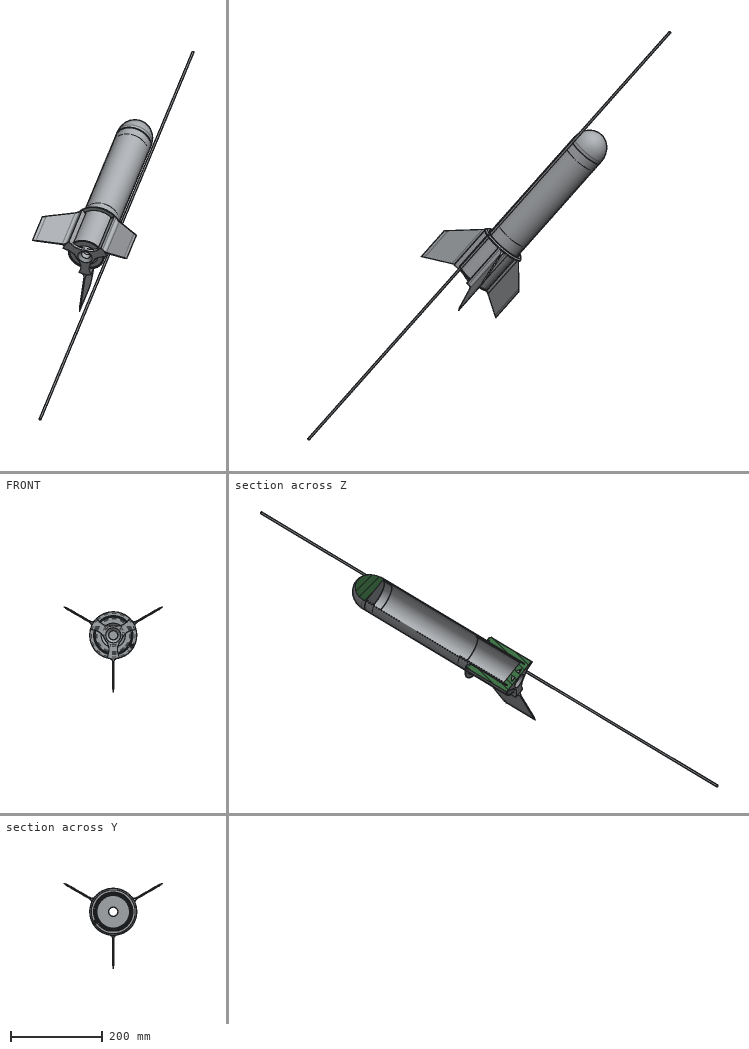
import cadquery as cq
import math


ROD_LENGTH = 1219.2
ROD_DIAMETER = 4.76
ROD_CLEARANCE = 2.0
ROD_ANGLE = -30.0

TUBE_OUTER_DIAMETER = 80.2
TUBE_INNER_DIAMETER = 76.2
TUBE_AFT_Y = -99.0
TUBE_FRONT_Y = 277.0

INSERT_DIAMETER = 75.2
INSERT_BORE_DIAMETER = 71.2

COLLAR_LENGTH = 7.6
DOME_LENGTH = 44.0
SHOULDER_LENGTH = 20.0

FLANGE_OUTER_DIAMETER = 103.2
FLANGE_INNER_DIAMETER = 85.2
FLANGE_AFT_Y = -2.5
FLANGE_THICKNESS = 5.5
FLANGE_CHAMFER = 3.5
CAN_AFT_Y = -108.5
POST_SPAN_ANGLE = 30.0
HUB_DIAMETER = 41.0
NOZZLE_MOUTH_DIAMETER = 33.0
NOZZLE_THROAT_DIAMETER = 20.0
HUB_FILLET = 29.0
NOZZLE_DEPTH = 7.0
SEAT_THICKNESS = 2.4
SEAT_RECESS_DIAMETER = 53.0
SLEEVE_FRONT_Y = 28.0
SLEEVE_FLOOR_THICKNESS = 10.0

FIN_ANGLES = (30.0, 150.0, 270.0)
FIN_THICKNESS = 3.0
FIN_TIP_RADIUS = 123.84
FIN_TIP_ROUND = 0.19
FIN_TIP_BEVEL = 7.5
FIN_LEADING_SWEEP = 71.5
FIN_TIP_CHORD = 77.5
FIN_ROOT_FILLET = 8.0

FLANGE_RADIUS = FLANGE_OUTER_DIAMETER / 2
TUBE_RADIUS = TUBE_OUTER_DIAMETER / 2
FLANGE_FRONT_Y = FLANGE_AFT_Y + FLANGE_THICKNESS
SEAT_AFT_Y = TUBE_AFT_Y - SEAT_THICKNESS


def section(y):
    """Workplane across the rocket at y: local x is X, local y is Z, extruding toward -Y."""
    return cq.Workplane("XZ", origin=(0, y, 0))


def cylinder(diameter, aft_y, front_y):
    return section(front_y).circle(diameter / 2).extrude(front_y - aft_y)


def aft_facing_cone(mouth_diameter, floor_diameter, aft_y, depth):
    """Cone that narrows toward the nose, used as a cutter."""
    profile = [
        (0, aft_y),
        (mouth_diameter / 2, aft_y),
        (floor_diameter / 2, aft_y + depth),
        (0, aft_y + depth),
    ]
    return cq.Workplane("XY").polyline(profile).close().revolve(360, (0, 0), (0, 1))


def polar(radius, degrees):
    angle = math.radians(degrees)
    return radius * math.cos(angle), radius * math.sin(angle)


def about_axis(body, degrees):
    """Turn a body built along +X to the given angle, counted from +X toward +Z."""
    return body.rotate((0, 0, 0), (0, 1, 0), -degrees)


ROD_X, ROD_Z = polar((FLANGE_OUTER_DIAMETER + FLANGE_INNER_DIAMETER) / 4, ROD_ANGLE)


def make_rod():
    rod = cylinder(ROD_DIAMETER, -ROD_LENGTH / 2, ROD_LENGTH / 2)
    return rod.translate((ROD_X, 0, ROD_Z))


def make_tube():
    tube = cylinder(TUBE_OUTER_DIAMETER, TUBE_AFT_Y, TUBE_FRONT_Y)
    return tube.cut(cylinder(TUBE_INNER_DIAMETER, TUBE_AFT_Y, TUBE_FRONT_Y))


def make_nose():
    dome_y = TUBE_FRONT_Y + COLLAR_LENGTH
    shoulder_y = TUBE_FRONT_Y - SHOULDER_LENGTH
    dome = (
        cq.Workplane("XY", origin=(0, dome_y, 0))
        .moveTo(TUBE_RADIUS, 0)
        .ellipseArc(TUBE_RADIUS, DOME_LENGTH, 0, 90, startAtCurrent=True)
        .lineTo(0, 0)
        .close()
        .revolve(360, (0, 0), (0, 1))
    )
    collar = cylinder(TUBE_OUTER_DIAMETER, TUBE_FRONT_Y, dome_y)
    shoulder = cylinder(INSERT_DIAMETER, shoulder_y, TUBE_FRONT_Y)
    bore = cylinder(INSERT_BORE_DIAMETER, shoulder_y, TUBE_FRONT_Y)
    return collar.union(dome).union(shoulder).cut(bore)


def sector(front_y, aft_y):
    """Wedge from the axis out to the flange radius, centred on +X."""
    half = POST_SPAN_ANGLE / 2
    wedge = (
        section(front_y)
        .lineTo(*polar(FLANGE_RADIUS, -half))
        .threePointArc((FLANGE_RADIUS, 0), polar(FLANGE_RADIUS, half))
        .close()
    )
    return wedge.extrude(front_y - aft_y)


def make_post():
    post = sector(FLANGE_AFT_Y, CAN_AFT_Y)
    return post.cut(cylinder(TUBE_OUTER_DIAMETER, TUBE_AFT_Y, TUBE_FRONT_Y))


def make_flange():
    flange = cylinder(FLANGE_OUTER_DIAMETER, FLANGE_AFT_Y, FLANGE_FRONT_Y)
    flange = flange.faces(">Y").chamfer(FLANGE_CHAMFER)
    return flange.cut(cylinder(FLANGE_INNER_DIAMETER, FLANGE_AFT_Y, FLANGE_FRONT_Y))


def make_hub():
    """Hub with three spokes, the corners between hub and spokes rounded."""
    hub = cylinder(HUB_DIAMETER, CAN_AFT_Y, SEAT_AFT_Y)
    for angle in FIN_ANGLES:
        hub = hub.union(about_axis(sector(SEAT_AFT_Y, CAN_AFT_Y), angle))
    corner_reach = HUB_DIAMETER / 2 + 1.0
    hub_corners = cq.selectors.BoxSelector(
        (-corner_reach, CAN_AFT_Y, -corner_reach),
        (corner_reach, SEAT_AFT_Y, corner_reach),
    )
    return hub.edges("|Y").edges(hub_corners).fillet(HUB_FILLET)


def make_seat():
    """Disc under the tube end, with a sleeve up the tube and a 45 degree recess around the hub."""
    floor_front_y = TUBE_AFT_Y + SLEEVE_FLOOR_THICKNESS
    seat = cylinder(TUBE_OUTER_DIAMETER, SEAT_AFT_Y, TUBE_AFT_Y)
    seat = seat.union(cylinder(INSERT_DIAMETER, TUBE_AFT_Y, SLEEVE_FRONT_Y))
    seat = seat.cut(cylinder(INSERT_BORE_DIAMETER, floor_front_y, SLEEVE_FRONT_Y))
    recess_depth = (SEAT_RECESS_DIAMETER - HUB_DIAMETER) / 2
    seat = seat.cut(aft_facing_cone(SEAT_RECESS_DIAMETER, HUB_DIAMETER, SEAT_AFT_Y, recess_depth))
    core = cylinder(HUB_DIAMETER, SEAT_AFT_Y, floor_front_y)
    return seat.union(core)


def cut_nozzle(can):
    nozzle = aft_facing_cone(NOZZLE_MOUTH_DIAMETER, NOZZLE_THROAT_DIAMETER, CAN_AFT_Y, NOZZLE_DEPTH)
    throat = cylinder(NOZZLE_THROAT_DIAMETER, CAN_AFT_Y, SLEEVE_FRONT_Y)
    return can.cut(nozzle).cut(throat)


def make_fin():
    """Swept fin along +X: a cross-section run along Y, trimmed to the side outline."""
    half = FIN_THICKNESS / 2
    fillet_centre_z = half + FIN_ROOT_FILLET
    root_x = math.sqrt((FLANGE_RADIUS + FIN_ROOT_FILLET) ** 2 - fillet_centre_z**2)
    foot_angle = math.degrees(math.atan2(fillet_centre_z, root_x))
    middle_angle = math.radians((270 + 180 + foot_angle) / 2)
    foot_x, foot_z = polar(FLANGE_RADIUS, foot_angle)
    middle_x = root_x + FIN_ROOT_FILLET * math.cos(middle_angle)
    middle_z = fillet_centre_z + FIN_ROOT_FILLET * math.sin(middle_angle)
    bevel_x = FIN_TIP_RADIUS - FIN_TIP_BEVEL
    round_x = FIN_TIP_RADIUS - FIN_TIP_ROUND

    front_y = FLANGE_AFT_Y
    tip_aft_y = FLANGE_AFT_Y - FIN_LEADING_SWEEP - FIN_TIP_CHORD
    cross_section = (
        section(front_y)
        .moveTo(TUBE_RADIUS, -foot_z)
        .lineTo(foot_x, -foot_z)
        .threePointArc((middle_x, -middle_z), (root_x, -half))
        .lineTo(bevel_x, -half)
        .lineTo(round_x, -FIN_TIP_ROUND)
        .threePointArc((FIN_TIP_RADIUS, 0), (round_x, FIN_TIP_ROUND))
        .lineTo(bevel_x, half)
        .lineTo(root_x, half)
        .threePointArc((middle_x, middle_z), (foot_x, foot_z))
        .lineTo(TUBE_RADIUS, foot_z)
        .close()
        .extrude(front_y - tip_aft_y)
    )
    outline = [
        (TUBE_RADIUS, front_y),
        (FLANGE_RADIUS, front_y),
        (FIN_TIP_RADIUS, front_y - FIN_LEADING_SWEEP),
        (FIN_TIP_RADIUS, tip_aft_y),
        (FLANGE_RADIUS, CAN_AFT_Y),
        (TUBE_RADIUS, CAN_AFT_Y),
    ]
    side = cq.Workplane("XY").polyline(outline).close().extrude(2 * foot_z, both=True)
    return cross_section.intersect(side)


def make_fin_can():
    can = make_seat().union(make_hub()).union(make_flange())
    post_with_fin = make_post().union(make_fin())
    for angle in FIN_ANGLES:
        can = can.union(about_axis(post_with_fin, angle))
    rod_hole = cylinder(ROD_DIAMETER + ROD_CLEARANCE, FLANGE_AFT_Y, FLANGE_FRONT_Y)
    return cut_nozzle(can).cut(rod_hole.translate((ROD_X, 0, ROD_Z)))


rod = make_rod()
tube = make_tube()
nose = make_nose()
fin_can = make_fin_can()

result = cq.Compound.makeCompound([rod.val(), tube.val(), nose.val(), fin_can.val()])